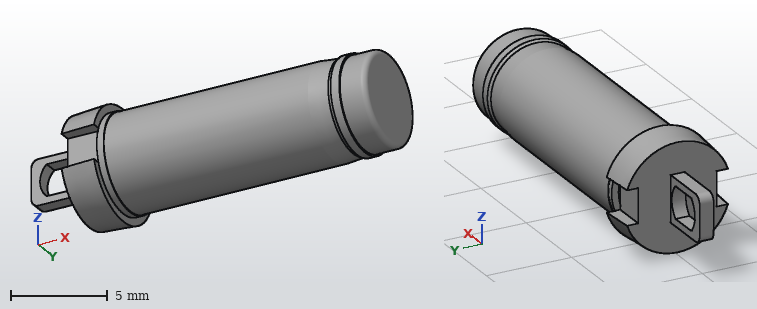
import cadquery as cq
import math


head_length = 2.0
head_rear_radius = 3.12
head_shoulder_radius = 3.25
notch_height = 2.0
notch_floor_offset = 2.3

sleeve_length = 14.3
sleeve_radius = 2.75
bore_radius = 2.4
collar_radius = 2.8
collar_length = 0.4
groove_radius = 2.65
groove_start = 12.45
groove_bottom = 13.6
groove_end = 13.8

tip_length = 1.5
tip_radius = 2.65
tip_fillet = 0.3

lug_length = 3.2
lug_width = 2.7
lug_thickness = 0.82
lug_corner_radius = 0.45
lug_depth_in_head = head_length
eye_diameter = 2.54
eye_height = 1.85
eye_centre_from_end = 1.79


def revolve_about_x(profile):
    """Close a half profile and turn it a full revolution about the X axis."""
    return profile.close().revolve(360, (0, 0, 0), (1, 0, 0))


def make_lug():
    """Flat solder lug with rounded outer corners and an eye flattened above and below."""
    total_length = lug_length + lug_depth_in_head
    outer_end = -head_length - lug_length
    plate = (
        cq.Workplane("XY")
        .box(total_length, lug_thickness, lug_width, centered=(False, True, True))
        .edges("<X and |Y")
        .fillet(lug_corner_radius)
        .translate((outer_end, 0, 0))
    )

    half_height = eye_height / 2
    eye_radius = eye_diameter / 2
    half_flat = math.sqrt(eye_radius**2 - half_height**2)
    eye = (
        cq.Workplane("XZ")
        .moveTo(-half_flat, half_height)
        .lineTo(half_flat, half_height)
        .threePointArc((eye_radius, 0), (half_flat, -half_height))
        .lineTo(-half_flat, -half_height)
        .threePointArc((-eye_radius, 0), (-half_flat, half_height))
        .close()
        .extrude(lug_thickness, both=True)
        .translate((outer_end + eye_centre_from_end, 0, 0))
    )
    return plate.cut(eye)


def make_sleeve():
    """Tube with a collar at the shoulder and a shallow asymmetric groove near the tip."""
    profile = (
        cq.Workplane("XY")
        .moveTo(0, bore_radius)
        .lineTo(0, collar_radius)
        .lineTo(collar_length, collar_radius)
        .lineTo(collar_length, sleeve_radius)
        .lineTo(groove_start, sleeve_radius)
        .lineTo(groove_bottom, groove_radius)
        .lineTo(groove_end, sleeve_radius)
        .lineTo(sleeve_length, sleeve_radius)
        .lineTo(sleeve_length, bore_radius)
    )
    return revolve_about_x(profile)


def make_notch(side):
    """Rectangular cutter for the notch on one side of the head, side being +1 or -1."""
    depth = head_shoulder_radius - notch_floor_offset
    centre_y = side * (notch_floor_offset + depth / 2)
    cutter = cq.Workplane("XY").box(head_length, depth, notch_height)
    return cutter.translate((-head_length / 2, centre_y, 0))


def make_insulator(lug):
    """Tapered head, core filling the sleeve bore and rounded tip, with a slot for the lug."""
    tip_end = sleeve_length + tip_length
    profile = (
        cq.Workplane("XY")
        .moveTo(-head_length, 0)
        .lineTo(-head_length, head_rear_radius)
        .lineTo(0, head_shoulder_radius)
        .lineTo(0, bore_radius)
        .lineTo(sleeve_length, bore_radius)
        .lineTo(sleeve_length, tip_radius)
        .lineTo(tip_end, tip_radius)
        .lineTo(tip_end, 0)
    )
    body = revolve_about_x(profile).faces(">X").edges().fillet(tip_fillet)
    for side in (-1, 1):
        body = body.cut(make_notch(side))
    return body.cut(lug)


contact_lug = make_lug()
sleeve = make_sleeve()
insulator = make_insulator(contact_lug)

result = cq.Compound.makeCompound([insulator.val(), sleeve.val(), contact_lug.val()])